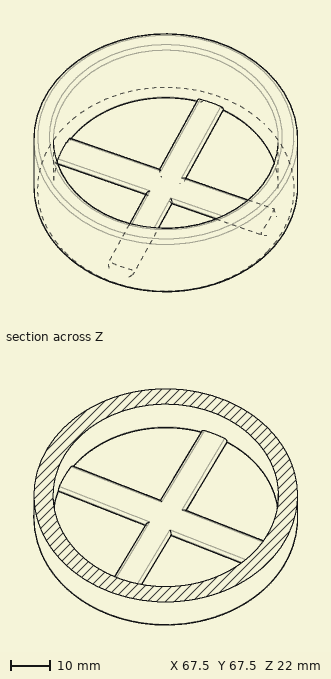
import cadquery as cq

outer_diameter = 67.5
bore_diameter = 57.5
height = 22.0
rim_fillet = 1.0
bottom_chamfer = 0.95
chamfer_blend = 0.9

bar_x_width = 8.45
bar_y_width = 7.2
bar_height = 2.0
bar_edge_fillet = 0.75

window_fillet = 1.2


def make_ring():
    """Ring with rounded top rims and a softened bottom chamfer outside."""
    outer = cq.Workplane("XY").circle(outer_diameter / 2).extrude(height)
    outer = outer.faces("<Z").edges().chamfer(bottom_chamfer)
    outer = outer.edges("%CIRCLE and (not <Z) and (not >Z)").fillet(chamfer_blend)
    bore = cq.Workplane("XY").circle(bore_diameter / 2).extrude(height)
    ring = outer.cut(bore)
    ring = ring.faces(">Z").edges().fillet(rim_fillet)
    bore_bottom_edge = cq.selectors.RadiusNthSelector(0)
    return ring.faces("<Z").edges(bore_bottom_edge).fillet(window_fillet)


def make_cross():
    """Cross with rounded upper and lower edges, reaching to the middle of the ring wall."""
    reach = (outer_diameter + bore_diameter) / 2
    along_x = cq.Workplane("XY").rect(reach, bar_x_width).extrude(bar_height)
    along_y = cq.Workplane("XY").rect(bar_y_width, reach).extrude(bar_height)
    cross = along_x.union(along_y)
    cross = cross.faces(">Z").edges().fillet(bar_edge_fillet)
    return cross.faces("<Z").edges().fillet(window_fillet)


result = make_ring().union(make_cross())